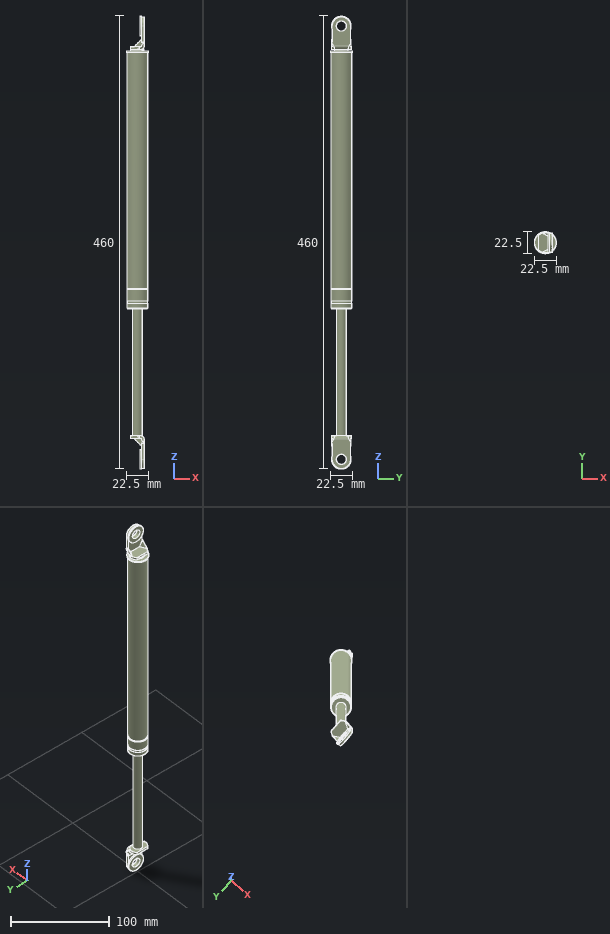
import cadquery as cq

eye_spacing = 440.0
eye_radius = 10.0
eye_center_height = 24.0
mount_z = eye_spacing / 2 - eye_center_height

tube_radius = 10.6
rod_radius = 5.0
tube_top_z = 193.3
gland_top_z = -47.0
gland_bottom_z = -67.2
seam_chamfer = 0.7
gland_end_chamfer = 0.8
crimp_top_z = -59.0
crimp_width = 2.6
crimp_depth = 0.25

lip_radius = 11.25
lip_thickness = 1.4
seat_radius = 7.0

plate_thickness = 3.0
base_radius = 10.2
base_flat_x = -7.1
strap_outer_x = 7.1
strap_inner_x = strap_outer_x - plate_thickness
strap_half_width = 9.3
outer_bend_radius = 3.5
boss_height = 1.6
eye_hole_radius = 5.0
shoulder_height = 8.0
shoulder_half_width = 10.0

corner_leg = 7.4
corner_inset = 4.2


def cylinder(radius, bottom_z, top_z):
    return cq.Workplane("XY", origin=(0, 0, bottom_z)).circle(radius).extrude(top_z - bottom_z)


def tetrahedron(corners):
    """Solid with four triangular faces."""
    faces = []
    for skipped in range(4):
        ring = [corners[i] for i in range(4) if i != skipped]
        wire = cq.Wire.makePolygon([cq.Vector(*point) for point in ring], close=True)
        faces.append(cq.Face.makeFromWires(wire))
    solid = cq.Solid.makeSolid(cq.Shell.makeShell(faces))
    return cq.Workplane("XY").newObject([solid.fix()])


def make_tube():
    return cylinder(tube_radius, gland_top_z, tube_top_z).faces("<Z").chamfer(seam_chamfer)


def make_gland():
    gland = cylinder(tube_radius, gland_bottom_z, gland_top_z)
    gland = gland.faces(">Z").chamfer(seam_chamfer)
    gland = gland.faces("<Z").chamfer(gland_end_chamfer)
    crimp_bottom_z = crimp_top_z - crimp_width
    crimp = cylinder(tube_radius, crimp_bottom_z, crimp_top_z).cut(
        cylinder(tube_radius - crimp_depth, crimp_bottom_z, crimp_top_z)
    )
    rod_bore = cylinder(rod_radius, gland_bottom_z, gland_top_z)
    return gland.cut(crimp).cut(rod_bore)


def make_rod():
    return cylinder(rod_radius, -mount_z, gland_top_z)


def make_cap():
    lip_top_z = tube_top_z + lip_thickness
    lip = cylinder(lip_radius, tube_top_z, lip_top_z)
    return lip.union(cylinder(seat_radius, lip_top_z, mount_z))


def make_base():
    disc = cylinder(base_radius, 0, plate_thickness)
    trim = cq.Workplane("XY", origin=(base_flat_x, 0, 0)).box(
        strap_outer_x - base_flat_x, 2 * base_radius, plate_thickness, centered=(False, True, False)
    )
    return disc.intersect(trim)


def make_strap():
    """Upright strap with a rounded top and a slightly wider foot."""
    shoulder_run = shoulder_half_width - strap_half_width
    return (
        cq.Workplane("YZ", origin=(strap_inner_x, 0, 0))
        .moveTo(-shoulder_half_width, 0)
        .lineTo(-shoulder_half_width, shoulder_height - shoulder_run)
        .lineTo(-strap_half_width, shoulder_height)
        .lineTo(-strap_half_width, eye_center_height)
        .threePointArc((0, eye_center_height + strap_half_width), (strap_half_width, eye_center_height))
        .lineTo(strap_half_width, shoulder_height)
        .lineTo(shoulder_half_width, shoulder_height - shoulder_run)
        .lineTo(shoulder_half_width, 0)
        .close()
        .extrude(plate_thickness)
    )


def make_corner(corner_x, corner_z, side):
    """Three-sided wedge in a corner of the bend; side is +1 or -1 along Y."""
    outer_y = side * shoulder_half_width
    return tetrahedron([
        (corner_x, outer_y, corner_z),
        (corner_x - corner_leg, outer_y, corner_z),
        (corner_x, outer_y, corner_z + corner_leg),
        (corner_x, outer_y - side * corner_inset, corner_z),
    ])


def make_eye_bracket():
    bracket = make_base().union(make_strap())
    outer_bend = bracket.faces(">X").edges("<Z")
    bracket = outer_bend.fillet(outer_bend_radius)
    for side in (-1, 1):
        bracket = bracket.cut(make_corner(strap_outer_x, 0, side))
        bracket = bracket.union(make_corner(strap_inner_x, plate_thickness, side))
    eye_plane = cq.Workplane("YZ", origin=(strap_inner_x - boss_height, 0, eye_center_height))
    boss = eye_plane.circle(eye_radius).extrude(boss_height)
    hole = eye_plane.circle(eye_hole_radius).extrude(boss_height + plate_thickness)
    return bracket.union(boss).cut(hole)


tube = make_tube()
gland = make_gland()
rod = make_rod()
cap = make_cap()

eye_brackets = []
for turn in (0, 180):
    bracket = make_eye_bracket().translate((0, 0, mount_z))
    eye_brackets.append(bracket.rotate((0, 0, 0), (1, 0, 0), turn))

result = cq.Compound.makeCompound(
    [tube.val(), gland.val(), rod.val(), cap.val(), *[bracket.val() for bracket in eye_brackets]]
)